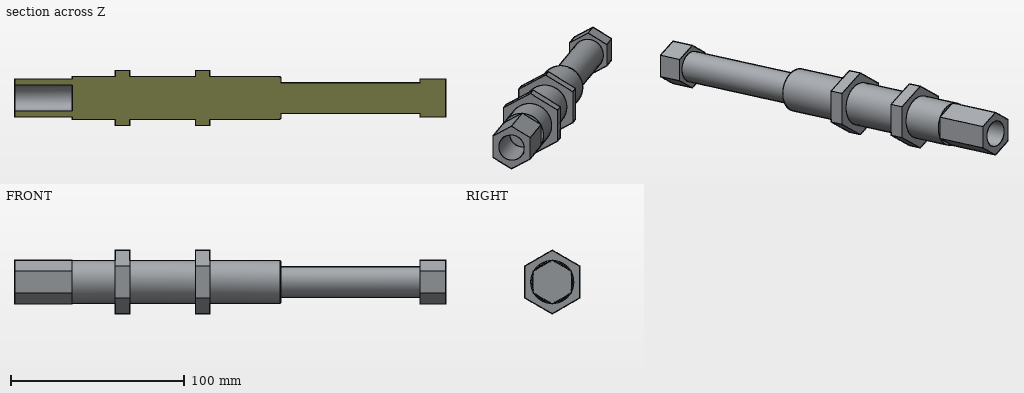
import cadquery as cq

TOTAL_LENGTH = 249.0
LEFT_END = -TOTAL_LENGTH / 2
SOCKET_LENGTH = 33.0
BODY_LENGTH = 120.8
HEAD_LENGTH = 15.0
NUT_THICKNESS = 8.5
NUT_OFFSETS = (58.0, 104.3)

BODY_DIAMETER = 25.0
BODY_CHAMFER = 0.7
ROD_DIAMETER = 18.0
BORE_DIAMETER = 15.0
BORE_DEPTH = SOCKET_LENGTH
END_HEX_CORNERS = 25.5
NUT_CORNERS = 36.9


def section_plane(offset):
    """Plane across the axis, at a distance from the left end."""
    return cq.Workplane("YZ", origin=(LEFT_END + offset, 0, 0))


def cylinder(offset, length, diameter):
    return section_plane(offset).circle(diameter / 2).extrude(length)


def hexagon(offset, length, across_corners):
    """Hexagonal prism along X with corners pointing up and down."""
    profile = section_plane(offset).transformed(rotate=(0, 0, 90)).polygon(6, across_corners)
    return profile.extrude(length)


body_end = SOCKET_LENGTH + BODY_LENGTH
head_start = TOTAL_LENGTH - HEAD_LENGTH

socket = hexagon(0, SOCKET_LENGTH, END_HEX_CORNERS)
body = cylinder(SOCKET_LENGTH, BODY_LENGTH, BODY_DIAMETER).edges(">X").chamfer(BODY_CHAMFER)
rod = cylinder(body_end, head_start - body_end, ROD_DIAMETER)
head = hexagon(head_start, HEAD_LENGTH, END_HEX_CORNERS)
result = socket.union(body).union(rod).union(head)

for nut_offset in NUT_OFFSETS:
    result = result.union(hexagon(nut_offset, NUT_THICKNESS, NUT_CORNERS))

result = result.cut(cylinder(0, BORE_DEPTH, BORE_DIAMETER))